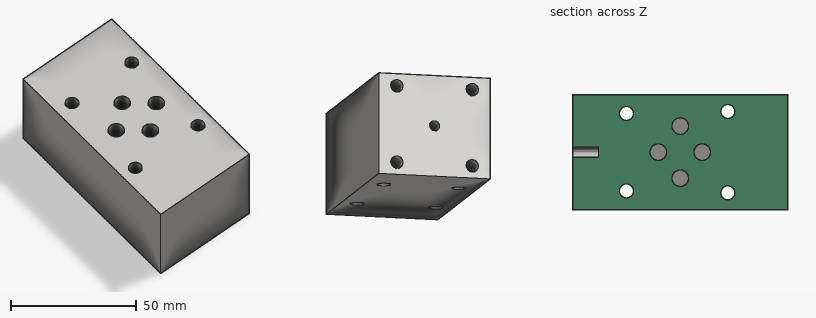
import cadquery as cq
import math

LENGTH = 86.0
WIDTH = 46.0
HEIGHT = 41.0

MOUNT_DIAMETER = 5.5
LEFT_MOUNT_X = -21.5
LEFT_MOUNT_Y = 15.5
RIGHT_MOUNT_X = 19.0
RIGHT_MOUNT_Y = 16.25

PORT_DIAMETER = 6.5
PORT_OFFSET_X = 8.8
PORT_OFFSET_Y = 10.4
PORT_DEPTH = HEIGHT / 2

THREAD_DIAMETER = 5.0
THREAD_DEPTH = 10.3
TAP_DRILL_DIAMETER = 4.2
TAP_DRILL_DEPTH = 12.9
DRILL_TIP_ANGLE = 140.0
THREAD_PITCH = 31.05

END_PORT_DIAMETER = 4.0
END_PORT_DEPTH = 10.3


def make_block():
    return cq.Workplane("XY").box(LENGTH, WIDTH, HEIGHT)


def mounting_holes():
    centres = [
        (x, side * y)
        for x, y in ((LEFT_MOUNT_X, LEFT_MOUNT_Y), (RIGHT_MOUNT_X, RIGHT_MOUNT_Y))
        for side in (-1, 1)
    ]
    bottom = cq.Workplane("XY", origin=(0, 0, -HEIGHT / 2))
    return bottom.pushPoints(centres).circle(MOUNT_DIAMETER / 2).extrude(HEIGHT)


def flow_ports():
    centres = [(-PORT_OFFSET_X, 0), (PORT_OFFSET_X, 0), (0, -PORT_OFFSET_Y), (0, PORT_OFFSET_Y)]
    top = cq.Workplane("XY", origin=(0, 0, HEIGHT / 2))
    return top.pushPoints(centres).circle(PORT_DIAMETER / 2).extrude(-PORT_DEPTH)


def threaded_hole(y, z):
    """Stepped hole with a conical drill tip, revolved about its axis along +X."""
    thread_radius = THREAD_DIAMETER / 2
    drill_radius = TAP_DRILL_DIAMETER / 2
    tip_length = drill_radius / math.tan(math.radians(DRILL_TIP_ANGLE / 2))
    return (
        cq.Workplane("XY", origin=(-LENGTH / 2, y, z))
        .polyline([
            (0, 0),
            (0, thread_radius),
            (THREAD_DEPTH, thread_radius),
            (THREAD_DEPTH, drill_radius),
            (TAP_DRILL_DEPTH, drill_radius),
            (TAP_DRILL_DEPTH + tip_length, 0),
        ])
        .close()
        .revolve(360, (0, 0, 0), (1, 0, 0))
    )


def end_port():
    face = cq.Workplane("YZ", origin=(-LENGTH / 2, 0, 0))
    return face.circle(END_PORT_DIAMETER / 2).extrude(END_PORT_DEPTH)


result = make_block().cut(mounting_holes()).cut(flow_ports()).cut(end_port())
for y_side in (-1, 1):
    for z_side in (-1, 1):
        result = result.cut(threaded_hole(y_side * THREAD_PITCH / 2, z_side * THREAD_PITCH / 2))